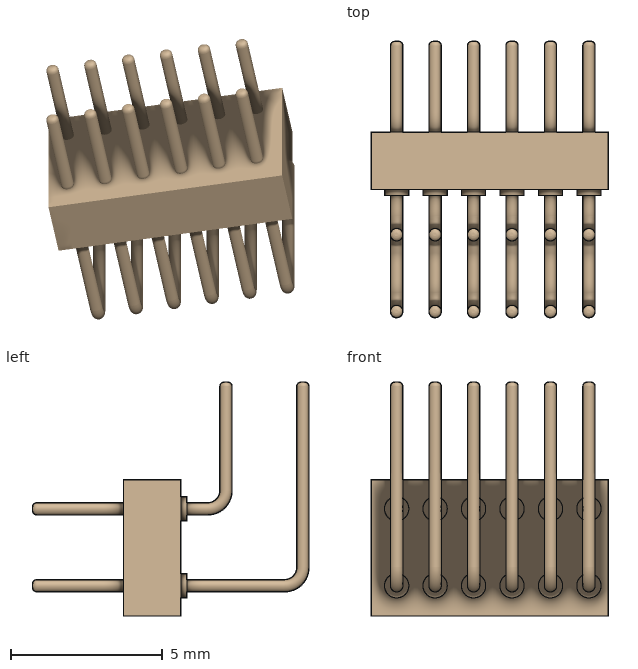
import cadquery as cq

total_depth = 9.13
total_height = 7.72

body_width = 7.83
body_depth = 1.9
body_height = 4.5

pins_per_row = 6
pin_pitch = 1.27
row_pitch = 2 * pin_pitch
pin_grid_x = 0.1
pin_grid_rise = 0.02

pin_diameter = 0.41
tip_round = 0.15
bend_radius = 0.6
back_pin_length = 3.0

collar_diameter = 0.8
collar_thickness = 0.19

back_end_y = total_depth / 2
body_back_y = back_end_y - back_pin_length
body_front_y = body_back_y - body_depth
pin_top_z = total_height / 2
body_middle_z = -total_height / 2 + body_height / 2

lower_row_z = body_middle_z + pin_grid_rise - row_pitch / 2
upper_row_z = lower_row_z + row_pitch
outer_leg_y = -total_depth / 2 + pin_diameter / 2
inner_leg_y = outer_leg_y + row_pitch


def make_body():
    middle_y = (body_front_y + body_back_y) / 2
    return cq.Workplane("XY").box(body_width, body_depth, body_height).translate((0, middle_y, body_middle_z))


def make_collar(x, z):
    return (
        cq.Workplane("XZ", origin=(x, body_front_y, z))
        .circle(collar_diameter / 2)
        .extrude(collar_thickness)
    )


def make_pin(x, row_z, leg_y):
    """Straight shaft along Y, a quarter bend, then a vertical leg at leg_y."""
    bend_start_y = leg_y + bend_radius
    bend_end_z = row_z + bend_radius
    radius = pin_diameter / 2

    shaft = (
        cq.Workplane("XZ", origin=(x, back_end_y, row_z))
        .circle(radius)
        .extrude(back_end_y - bend_start_y)
        .faces(">Y")
        .edges()
        .fillet(tip_round)
    )
    bend = (
        cq.Workplane("XZ", origin=(x, bend_start_y, row_z))
        .circle(radius)
        .revolve(90, (0, bend_radius), (-1, bend_radius))
    )
    leg = (
        cq.Workplane("XY", origin=(x, leg_y, bend_end_z))
        .circle(radius)
        .extrude(pin_top_z - bend_end_z)
        .faces(">Z")
        .edges()
        .fillet(tip_round)
    )
    return shaft.union(bend).union(leg)


result = make_body()
for column in range(pins_per_row):
    pin_x = pin_grid_x + (column - (pins_per_row - 1) / 2) * pin_pitch
    for row_z, leg_y in ((lower_row_z, outer_leg_y), (upper_row_z, inner_leg_y)):
        result = result.union(make_collar(pin_x, row_z))
        result = result.union(make_pin(pin_x, row_z, leg_y))